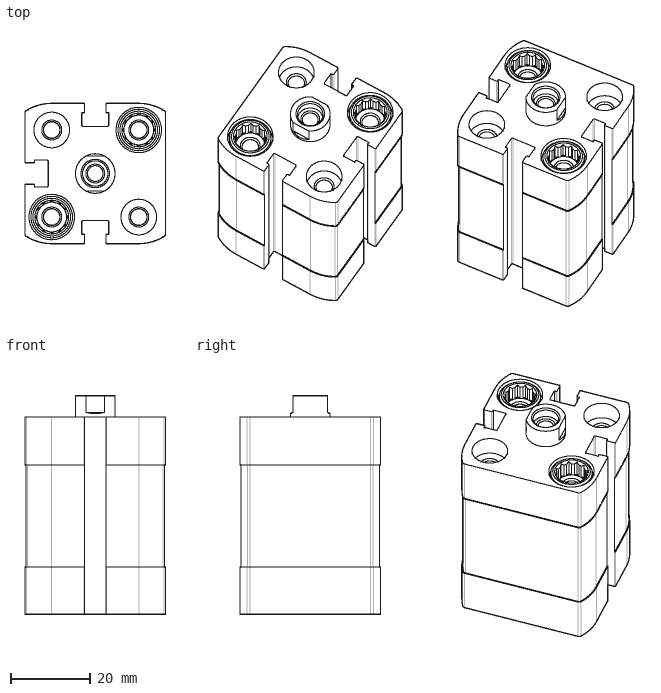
import cadquery as cq
import math

WIDTH = 35.5
TOTAL_HEIGHT = 55.2
HOUSING_HEIGHT = 49.85
TOP_CAP_HEIGHT = 12.15
BOTTOM_CAP_HEIGHT = 11.9
TUBE_INSET = 0.2

SHOULDER_START_X = 11.0
SHOULDER_RADIUS = 12.15
CORNER_FILLET = 0.8

SLOT_MOUTH_WIDTH = 5.35
SLOT_INNER_WIDTH = 6.75
SLOT_DEPTH = 5.85
SLOT_LIP_THICKNESS = 2.45
SLOT_LIP_FILLET = 0.2
SLOT_FLOOR_FILLET = 0.3

HOLE_OFFSET = 11.0
HOLE_DIAMETER = 4.15
HOLE_CHAMFER_DIAMETER = 5.0
COUNTERBORE_DIAMETER = 9.0
COUNTERBORE_DEPTH = 5.0

HEAD_POCKET_DIAMETER = 11.5
HEAD_POCKET_DEPTH = 2.2
HEAD_DIAMETER = 10.5
HEAD_CHAMFER = 0.5
SOCKET_RIM_DIAMETER = 8.5
SOCKET_DIAMETER = 7.5
SOCKET_TIP_DIAMETER = 8.1
SOCKET_DEPTH = 4.75
SOCKET_GROOVE_DEPTH = 4.5
SOCKET_HEXAGONS = 2
HEXAGON_SIDES = 6

ROD_DIAMETER = 10.0
ROD_FLAT_WIDTH = 8.85
ROD_FLAT_HEIGHT = 4.2
ROD_BORE_DIAMETER = 6.4
ROD_BORE_CHAMFER_DIAMETER = 7.2
ROD_BORE_DEPTH = 2.6
ROD_THREAD_DIAMETER = 4.0
ROD_THREAD_CHAMFER_DIAMETER = 4.75
ROD_THREAD_DEPTH = 9.95

ROD_RUNOUT_ANGLE = math.radians(30)
DRILL_HALF_ANGLE = math.radians(60)
COUNTERSINK_HALF_ANGLE = math.radians(45)
SOCKET_CONE_HALF_ANGLE = math.radians(30)

HALF_WIDTH = WIDTH / 2
TUBE_HEIGHT = HOUSING_HEIGHT - TOP_CAP_HEIGHT - BOTTOM_CAP_HEIGHT
ROD_SEAT_Z = HOUSING_HEIGHT - TOP_CAP_HEIGHT
COUNTERBORE_CORNERS = [(-HOLE_OFFSET, HOLE_OFFSET), (HOLE_OFFSET, -HOLE_OFFSET)]
SCREW_CORNERS = [(-HOLE_OFFSET, -HOLE_OFFSET), (HOLE_OFFSET, HOLE_OFFSET)]


def cylinder(diameter, bottom, top):
    """Upright cylinder on the Z axis."""
    return cq.Workplane("XY").workplane(offset=bottom).circle(diameter / 2).extrude(top - bottom)


def countersink(top_diameter, bottom_diameter, top, half_angle):
    """Cone that narrows downward on the Z axis from the height `top`."""
    top_radius = top_diameter / 2
    bottom_radius = bottom_diameter / 2
    depth = (top_radius - bottom_radius) / math.tan(half_angle)
    profile = cq.Workplane("XZ").moveTo(0, top).lineTo(top_radius, top)
    profile = profile.lineTo(bottom_radius, top - depth)
    if bottom_radius > 0:
        profile = profile.lineTo(0, top - depth)
    return profile.close().revolve(360, (0, 0, 0), (0, 1, 0))


def profile_prism(inset, bottom, height):
    """Square with arched shoulders, shrunk by `inset`, between its corner fillets."""
    half = HALF_WIDTH - inset
    radius = SHOULDER_RADIUS - inset
    center_y = half - radius

    def shoulder_y(x):
        return center_y + math.sqrt(radius ** 2 - (x - SHOULDER_START_X) ** 2)

    end_y = shoulder_y(half)
    middle_x = (SHOULDER_START_X + half) / 2
    middle_y = shoulder_y(middle_x)
    prism = (
        cq.Workplane("XY").workplane(offset=bottom)
        .moveTo(-SHOULDER_START_X, half)
        .lineTo(SHOULDER_START_X, half)
        .threePointArc((middle_x, middle_y), (half, end_y))
        .lineTo(half, -end_y)
        .threePointArc((middle_x, -middle_y), (SHOULDER_START_X, -half))
        .lineTo(-SHOULDER_START_X, -half)
        .threePointArc((-middle_x, -middle_y), (-half, -end_y))
        .lineTo(-half, end_y)
        .threePointArc((-middle_x, middle_y), (-SHOULDER_START_X, half))
        .close()
        .extrude(height)
    )
    for x_side in (">X", "<X"):
        prism = prism.faces(x_side).edges("|Z").fillet(CORNER_FILLET)
    return prism


def sensor_slot(angle):
    """T-slot cutter of the full height; at angle 0 it opens toward -X."""
    mouth_half = SLOT_MOUTH_WIDTH / 2
    lip_x = -HALF_WIDTH + SLOT_LIP_THICKNESS
    floor_x = -HALF_WIDTH + SLOT_DEPTH
    slot = (
        cq.Workplane("XY")
        .moveTo((lip_x + floor_x) / 2, 0)
        .rect(floor_x - lip_x, SLOT_INNER_WIDTH)
        .extrude(HOUSING_HEIGHT)
        .faces(">X").edges("|Z").fillet(SLOT_FLOOR_FILLET)
    )
    mouth = cq.Workplane("XY").moveTo(-HALF_WIDTH, mouth_half + SLOT_LIP_FILLET)
    mouth = (
        mouth
        .radiusArc((-HALF_WIDTH + SLOT_LIP_FILLET, mouth_half), -SLOT_LIP_FILLET)
        .lineTo(lip_x - SLOT_LIP_FILLET, mouth_half)
        .radiusArc((lip_x, mouth_half + SLOT_LIP_FILLET), -SLOT_LIP_FILLET)
        .lineTo(lip_x, -mouth_half - SLOT_LIP_FILLET)
        .radiusArc((lip_x - SLOT_LIP_FILLET, -mouth_half), -SLOT_LIP_FILLET)
        .lineTo(-HALF_WIDTH + SLOT_LIP_FILLET, -mouth_half)
        .radiusArc((-HALF_WIDTH, -mouth_half - SLOT_LIP_FILLET), -SLOT_LIP_FILLET)
        .close()
        .extrude(HOUSING_HEIGHT)
    )
    return slot.union(mouth).rotate((0, 0, 0), (0, 0, 1), angle)


def through_hole(floor_z):
    """Round through hole with a countersink at the floor it starts from."""
    hole = cylinder(HOLE_DIAMETER, 0, floor_z)
    return hole.union(countersink(HOLE_CHAMFER_DIAMETER, HOLE_DIAMETER, floor_z, COUNTERSINK_HALF_ANGLE))


def counterbored_hole():
    floor_z = HOUSING_HEIGHT - COUNTERBORE_DEPTH
    bore = cylinder(COUNTERBORE_DIAMETER, floor_z, HOUSING_HEIGHT)
    return through_hole(floor_z).union(bore)


def screw_socket():
    """Twelve-groove socket with a conical lead-in, above the through hole."""
    floor_z = HOUSING_HEIGHT - SOCKET_DEPTH
    socket = cylinder(SOCKET_DIAMETER, floor_z, HOUSING_HEIGHT)
    for index in range(SOCKET_HEXAGONS):
        hexagon = (
            cq.Workplane("XY").workplane(offset=HOUSING_HEIGHT - SOCKET_GROOVE_DEPTH)
            .transformed(rotate=(0, 0, index * 360 / (HEXAGON_SIDES * SOCKET_HEXAGONS)))
            .polygon(HEXAGON_SIDES, SOCKET_TIP_DIAMETER)
            .extrude(SOCKET_GROOVE_DEPTH)
        )
        socket = socket.union(hexagon)
    lead_in = countersink(SOCKET_RIM_DIAMETER, SOCKET_DIAMETER, HOUSING_HEIGHT, SOCKET_CONE_HALF_ANGLE)
    return socket.union(lead_in).union(through_hole(floor_z))


def screw_head_gap():
    """Ring-shaped gap that leaves a chamfered screw head standing in its pocket."""
    pocket_z = HOUSING_HEIGHT - HEAD_POCKET_DEPTH
    pocket = cylinder(HEAD_POCKET_DIAMETER, pocket_z, HOUSING_HEIGHT)
    head = cylinder(HEAD_DIAMETER, pocket_z, HOUSING_HEIGHT).faces(">Z").edges().chamfer(HEAD_CHAMFER)
    return pocket.cut(head)


def make_housing():
    tube_z = BOTTOM_CAP_HEIGHT
    housing = profile_prism(0, 0, BOTTOM_CAP_HEIGHT)
    housing = housing.union(profile_prism(TUBE_INSET, tube_z, TUBE_HEIGHT))
    housing = housing.union(profile_prism(0, tube_z + TUBE_HEIGHT, TOP_CAP_HEIGHT))
    for angle in (-90, 0, 90):
        housing = housing.cut(sensor_slot(angle))
    for x, y in COUNTERBORE_CORNERS:
        housing = housing.cut(counterbored_hole().translate((x, y, 0)))
    for x, y in SCREW_CORNERS:
        housing = housing.cut(screw_socket().translate((x, y, 0)))
        housing = housing.cut(screw_head_gap().translate((x, y, 0)))
    return housing.cut(cylinder(ROD_DIAMETER, ROD_SEAT_Z, HOUSING_HEIGHT))


def rod_flat_cutter():
    """Cutter of the -Y wrench flat, with a sloped run-out at its lower end."""
    flat_y = -ROD_FLAT_WIDTH / 2
    rim_y = -ROD_DIAMETER / 2
    flat_z = TOTAL_HEIGHT - ROD_FLAT_HEIGHT
    return (
        cq.Workplane("YZ")
        .moveTo(flat_y, TOTAL_HEIGHT)
        .lineTo(flat_y, flat_z)
        .lineTo(rim_y, flat_z + (rim_y - flat_y) * math.tan(ROD_RUNOUT_ANGLE))
        .lineTo(rim_y, TOTAL_HEIGHT)
        .close()
        .extrude(ROD_DIAMETER / 2, both=True)
    )


def rod_bore():
    """Stepped blind hole in the rod end, with countersunk steps and a drill point."""
    step_z = TOTAL_HEIGHT - ROD_BORE_DEPTH
    point_z = TOTAL_HEIGHT - ROD_THREAD_DEPTH
    bore = cylinder(ROD_BORE_DIAMETER, step_z, TOTAL_HEIGHT)
    bore = bore.union(cylinder(ROD_THREAD_DIAMETER, point_z, step_z))
    for top_diameter, bottom_diameter, top, half_angle in (
        (ROD_BORE_CHAMFER_DIAMETER, ROD_BORE_DIAMETER, TOTAL_HEIGHT, COUNTERSINK_HALF_ANGLE),
        (ROD_THREAD_CHAMFER_DIAMETER, ROD_THREAD_DIAMETER, step_z, COUNTERSINK_HALF_ANGLE),
        (ROD_THREAD_DIAMETER, 0, point_z, DRILL_HALF_ANGLE),
    ):
        bore = bore.union(countersink(top_diameter, bottom_diameter, top, half_angle))
    return bore


def make_rod():
    rod = cylinder(ROD_DIAMETER, ROD_SEAT_Z, TOTAL_HEIGHT)
    flat = rod_flat_cutter()
    return rod.cut(flat).cut(flat.mirror("XZ")).cut(rod_bore())


housing = make_housing()
rod = make_rod()

result = cq.Compound.makeCompound([*housing.vals(), *rod.vals()])